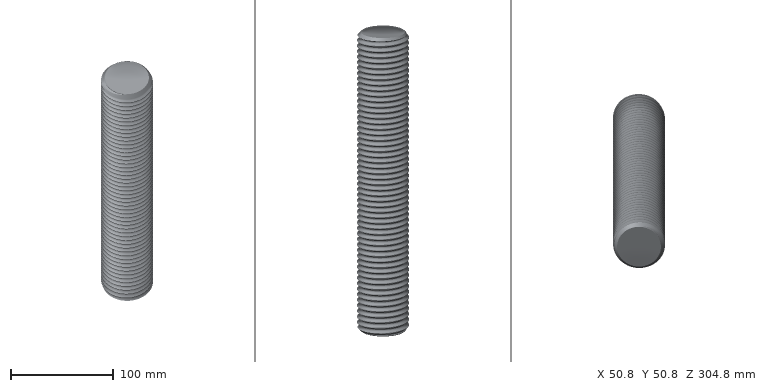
import cadquery as cq
import math

rod_length = 304.8
rod_diameter = rod_length / 6
thread_turns = 54
flank_half_angle = 30.0
flat_share = 1 / 8
thread_direction = 112.5
end_chamfer = 4.0

piece_turns = 6
overrun_turns = 1
ridge_sink = 0.5
blank_margin = 3.0

crest_radius = rod_diameter / 2
pitch = rod_length / thread_turns
flat_width = pitch * flat_share
flank_height = (pitch - 2 * flat_width) / 2
thread_depth = flank_height / math.tan(math.radians(flank_half_angle))
root_radius = crest_radius - thread_depth
piece_length = piece_turns * pitch
overrun = overrun_turns * pitch
core_overrun = 2 * overrun


def thread_ridge():
    """Helical ridge bounded by ruled faces, running past both ends of a piece."""
    inner_radius = root_radius - ridge_sink
    half_base = (pitch - flat_width) / 2
    half_crest = flat_width / 2
    profile = [
        cq.Vector(inner_radius, 0, -overrun - half_base),
        cq.Vector(root_radius, 0, -overrun - half_base),
        cq.Vector(crest_radius, 0, -overrun - half_crest),
        cq.Vector(crest_radius, 0, -overrun + half_crest),
        cq.Vector(root_radius, 0, -overrun + half_base),
        cq.Vector(inner_radius, 0, -overrun + half_base),
    ]
    ridge_length = piece_length + 2 * overrun
    helices = [
        cq.Wire.makeHelix(pitch, ridge_length, corner.x, center=cq.Vector(0, 0, corner.z))
        for corner in profile
    ]
    start_cap = cq.Face.makeFromWires(cq.Wire.makePolygon(profile, close=True))
    faces = [start_cap, start_cap.translate(cq.Vector(0, 0, ridge_length))]
    for lower, upper in zip(helices, helices[1:] + helices[:1]):
        faces.append(cq.Face.makeRuledSurface(lower, upper))
    return cq.Solid.makeSolid(cq.Shell.makeShell(faces))


def untrimmed_piece():
    """Core and thread ridge, longer than a piece at both ends."""
    core = cq.Workplane("XY").workplane(offset=-core_overrun).circle(root_radius)
    core = core.extrude(piece_length + 2 * core_overrun)
    piece = core.union(cq.Workplane(thread_ridge()))
    return piece.rotate((0, 0, 0), (0, 0, 1), thread_direction)


def trimming_blank():
    """Plain cylinder around a piece, one piece long."""
    return cq.Workplane("XY").circle(crest_radius + blank_margin).extrude(piece_length)


def chamfered_blank(chamfered_face):
    """Trimming blank that leaves the end chamfer on the thread at the chosen face."""
    return trimming_blank().faces(chamfered_face).chamfer(end_chamfer + blank_margin)


thread = untrimmed_piece()
bottom_piece = thread.intersect(chamfered_blank("<Z"))
middle_piece = thread.intersect(trimming_blank())
top_piece = thread.intersect(chamfered_blank(">Z")).translate((0, 0, rod_length - piece_length))

skin = bottom_piece.faces("not >Z").vals() + top_piece.faces("not <Z").vals()
for first_turn in range(piece_turns, thread_turns - piece_turns, piece_turns):
    piece = middle_piece.translate((0, 0, first_turn * pitch))
    skin += piece.faces("not (<Z or >Z)").vals()

result = cq.Workplane(cq.Solid.makeSolid(cq.Shell.makeShell(skin)))